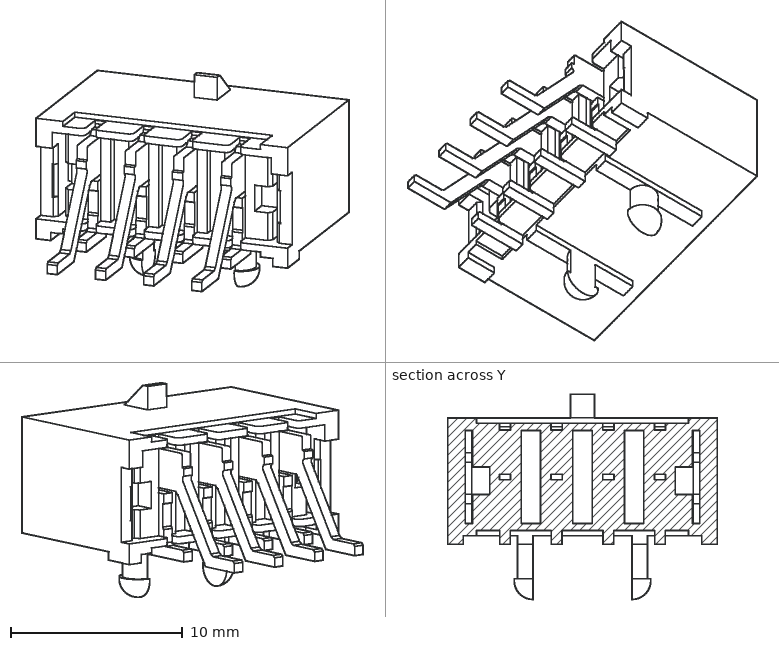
import cadquery as cq
import math


HOUSING_WIDTH = 15.7
HOUSING_DEPTH = 9.9
OVERALL_DEPTH = 15.9
HOUSING_TOP = 7.36
HOUSING_BOTTOM = 0.5
HALF_WIDTH = HOUSING_WIDTH / 2

PLATE_STEP_WIDTH = 12.32
PLATE_STEP_DEPTH = 1.91
PLATE_STEP_HEIGHT = 0.3
PLATE_CORNER_RADIUS = 0.32
LEAD_SLOT_DEPTH = 1.78

OPENING_HALF_WIDTH = 6.82
OPENING_BOTTOM = 1.22
OPENING_TOP = 6.61
WALL_SETBACK = 0.73
WALL_SETBACK_TOP = 5.65
WALL_NOTCH_HALF_WIDTH = 7.12
WALL_NOTCH_BOTTOM = 2.42
WALL_NOTCH_TOP = 4.42
BEVEL_WIDTH = 0.24
BEVEL_DEPTH = 0.24

CORE_HALF_WIDTH = 6.45
CORE_FRONT = 0.99
GROOVE_WIDTH = 1.11
GROOVE_BACK = 1.53
POCKET_HALF_WIDTH = 5.4
POCKET_BACK = 2.15
POCKET_BOTTOM = 2.91
POCKET_TOP = 4.5
SIDE_SLOT_BACK = 2.55
WINDOW_HEIGHT = 0.54
WINDOW_BOTTOMS = (2.37, 4.79)

LEAD_COUNT = 4
LEAD_PITCH = 3.0
LEAD_WIDTH = 0.64
LEAD_FOOT_HEIGHT = 0.68
LEAD_TIP_CHAMFER = 0.13
UPPER_LEAD_TIP = HOUSING_DEPTH - OVERALL_DEPTH
LOWER_LEAD_TIP = -1.34
LEAD_ROOT = PLATE_STEP_DEPTH
LEAD_CENTERS = [(i - (LEAD_COUNT - 1) / 2) * LEAD_PITCH for i in range(LEAD_COUNT)]
GROOVE_CENTERS = [x + LEAD_PITCH / 2 for x in LEAD_CENTERS[:-1]]

UPPER_ROOT_TOP = 6.85
UPPER_SHELF_BACK = 1.69
UPPER_SHELF_FRONT = 1.18
UPPER_SHELF_TOP = 6.68
UPPER_RAMP_BACK = 1.08
UPPER_RAMP_TOP = 6.57
UPPER_RAMP_FRONT = 0.87
HEAD_TOP = 6.39
HEAD_BOTTOM = 4.07
HEAD_FRONT = -1.16
HEAD_CORNER_RADIUS = 0.1
LIP_FRONT = -1.34
LIP_TOP = 5.58
LIP_TOP_DROP = 0.06
LIP_BOTTOM = 5.07
SHANK_NECK = (-1.21, 4.88)
SHANK_TOP = (-1.27, 4.7)
SHANK_BOTTOM = (-3.82, 0.83)
SHANK_FOOT_START = -4.02
SHANK_HEEL = -3.32
SHANK_UNDERSIDE_TOP = (-0.76, 3.9)
HEAD_UNDERSIDE_FRONT = -0.54

UPRIGHT_TOP = 3.77
UPRIGHT_FRONT = 0.54
RELIEF_FRONT = 0.62
RELIEF_TOP = 3.16
RELIEF_BOTTOM = 1.8
RELIEF_RAMP = 0.15
UPRIGHT_FOOT_CHAMFER = 0.17

LATCH_WIDTH = 1.42
LATCH_HEIGHT = 1.38
LATCH_FRONT = 7.08
LATCH_CREST = 7.54
LATCH_BACK = 9.22

FOOT_WIDTH = 0.92
RAIL_BACK = 8.95
PEG_FLAT = 2.88
PEG_RADIUS = 0.9
PEG_CENTER = 5.31
PEG_HEAD_RADIUS = 1.1
PEG_HEAD_TOP = -1.99
PEG_BOTTOM = -3.21


def box(x_min, x_max, y_min, y_max, z_min, z_max):
    """Block between the given limits."""
    block = cq.Workplane("XY").box(x_max - x_min, y_max - y_min, z_max - z_min, centered=False)
    return block.translate((x_min, y_min, z_min))


def extrude_side_profile(points, width):
    """Prism of a (Y, Z) outline, centred on X = 0."""
    return cq.Workplane("YZ").polyline(points).close().extrude(width / 2, both=True)


def both_sides(shape):
    """The shape together with its mirror image across X = 0."""
    return shape.union(shape.mirror("YZ"))


def upright_prism(points):
    """Prism of an (X, Y) outline over the height of the front opening."""
    height = OPENING_TOP - OPENING_BOTTOM
    return cq.Workplane("XY", origin=(0, 0, OPENING_BOTTOM)).polyline(points).close().extrude(height)


def make_lead_slots():
    """Slots through the front plates and into the core, one per lead, with rounded mouths."""
    height = HOUSING_TOP - HOUSING_BOTTOM
    half_slot = LEAD_WIDTH / 2
    half_mouth = half_slot + PLATE_CORNER_RADIUS
    slot = (
        cq.Workplane("XY", origin=(0, 0, HOUSING_BOTTOM))
        .moveTo(-half_mouth, 0)
        .radiusArc((-half_slot, PLATE_CORNER_RADIUS), -PLATE_CORNER_RADIUS)
        .lineTo(-half_slot, LEAD_SLOT_DEPTH)
        .lineTo(half_slot, LEAD_SLOT_DEPTH)
        .lineTo(half_slot, PLATE_CORNER_RADIUS)
        .radiusArc((half_mouth, 0), -PLATE_CORNER_RADIUS)
        .close()
        .extrude(height)
    )
    slots = slot.translate((LEAD_CENTERS[0], 0, 0))
    for x in LEAD_CENTERS[1:]:
        slots = slots.union(slot.translate((x, 0, 0)))
    return slots


def make_side_cuts():
    """Cuts at the left end of the front: wall setback, lead-in bevels, latch slot and windows."""
    setback = box(-HALF_WIDTH, -OPENING_HALF_WIDTH, 0, WALL_SETBACK, OPENING_BOTTOM, WALL_SETBACK_TOP)
    wall_bevel = upright_prism([
        (-OPENING_HALF_WIDTH, WALL_SETBACK),
        (-OPENING_HALF_WIDTH - BEVEL_WIDTH, WALL_SETBACK),
        (-OPENING_HALF_WIDTH, WALL_SETBACK + BEVEL_DEPTH),
    ]).intersect(box(-HALF_WIDTH, 0, 0, HOUSING_DEPTH, OPENING_BOTTOM, WALL_SETBACK_TOP))
    wall_notch = box(
        -WALL_NOTCH_HALF_WIDTH, -OPENING_HALF_WIDTH,
        WALL_SETBACK, WALL_SETBACK + BEVEL_DEPTH,
        WALL_NOTCH_BOTTOM, WALL_NOTCH_TOP,
    )
    core_bevel = upright_prism([
        (-CORE_HALF_WIDTH, CORE_FRONT),
        (-CORE_HALF_WIDTH + BEVEL_WIDTH, CORE_FRONT),
        (-CORE_HALF_WIDTH, CORE_FRONT + BEVEL_DEPTH),
    ])
    side_slot = box(
        -OPENING_HALF_WIDTH, -CORE_HALF_WIDTH, 0, SIDE_SLOT_BACK, OPENING_BOTTOM, OPENING_TOP
    )
    pocket = box(
        -CORE_HALF_WIDTH, -POCKET_HALF_WIDTH, CORE_FRONT, POCKET_BACK, POCKET_BOTTOM, POCKET_TOP
    )
    cuts = setback.union(wall_bevel).union(wall_notch).union(core_bevel).union(side_slot).union(pocket)
    for bottom in WINDOW_BOTTOMS:
        window = box(
            -OPENING_HALF_WIDTH, -CORE_HALF_WIDTH, 0, HOUSING_DEPTH, bottom, bottom + WINDOW_HEIGHT
        )
        cuts = cuts.union(window)
    return cuts


def make_housing():
    """Housing block with its open front, plates, grooves and side cuts."""
    housing = box(-HALF_WIDTH, HALF_WIDTH, 0, HOUSING_DEPTH, HOUSING_BOTTOM, HOUSING_TOP)

    opening = box(
        -OPENING_HALF_WIDTH, OPENING_HALF_WIDTH, 0, CORE_FRONT, OPENING_BOTTOM, OPENING_TOP
    )
    housing = housing.cut(opening)

    half_step = PLATE_STEP_WIDTH / 2
    for bottom in (HOUSING_BOTTOM, HOUSING_TOP - PLATE_STEP_HEIGHT):
        step = box(-half_step, half_step, 0, PLATE_STEP_DEPTH, bottom, bottom + PLATE_STEP_HEIGHT)
        housing = housing.cut(step)

    for x in GROOVE_CENTERS:
        groove = box(
            x - GROOVE_WIDTH / 2, x + GROOVE_WIDTH / 2,
            CORE_FRONT, GROOVE_BACK,
            OPENING_BOTTOM, OPENING_TOP,
        )
        housing = housing.cut(groove)

    return housing.cut(make_lead_slots()).cut(both_sides(make_side_cuts()))


def make_latch():
    """Ramp on the roof, rising towards the front."""
    crest = HOUSING_TOP + LATCH_HEIGHT
    return extrude_side_profile(
        [(LATCH_FRONT, HOUSING_TOP), (LATCH_FRONT, crest), (LATCH_CREST, crest), (LATCH_BACK, HOUSING_TOP)],
        LATCH_WIDTH,
    )


def make_board_supports():
    """Front feet and the two rails that carry the pegs."""
    foot = box(-HALF_WIDTH, -HALF_WIDTH + FOOT_WIDTH, 0, PLATE_STEP_DEPTH, 0, HOUSING_BOTTOM)
    rail = box(-PEG_FLAT - PEG_RADIUS, -PEG_FLAT, PLATE_STEP_DEPTH, RAIL_BACK, 0, HOUSING_BOTTOM)
    return both_sides(foot.union(rail))


def make_pegs():
    """Half-round pegs with half-dome heads, flat sides facing each other."""
    head_height = PEG_HEAD_TOP - PEG_BOTTOM
    dome_radius = (PEG_HEAD_RADIUS ** 2 + head_height ** 2) / (2 * head_height)
    dome_mid = dome_radius * math.sqrt(0.5)
    dome_mid_z = PEG_BOTTOM + dome_radius - dome_mid
    peg = (
        cq.Workplane("XZ")
        .moveTo(0, 0)
        .lineTo(-PEG_RADIUS, 0)
        .lineTo(-PEG_RADIUS, PEG_HEAD_TOP)
        .lineTo(-PEG_HEAD_RADIUS, PEG_HEAD_TOP)
        .threePointArc((-dome_mid, dome_mid_z), (0, PEG_BOTTOM))
        .close()
        .revolve(360, (0, 0, 0), (0, 1, 0))
    )
    head_diameter = 2 * PEG_HEAD_RADIUS
    inner_half = box(0, head_diameter, -head_diameter, head_diameter, PEG_BOTTOM, 0)
    peg = peg.cut(inner_half)
    return both_sides(peg.translate((-PEG_FLAT, PEG_CENTER, 0)))


def lead_foot_tip(tip):
    """Chamfered end of a lead foot, from its top face round to the board."""
    return [
        (tip + LEAD_TIP_CHAMFER, LEAD_FOOT_HEIGHT),
        (tip, LEAD_FOOT_HEIGHT - LEAD_TIP_CHAMFER),
        (tip, 0),
    ]


def make_upper_lead():
    """Lead that leaves the core high up and slopes down to a foot on the board."""
    top_steps = [
        (LEAD_ROOT, UPPER_ROOT_TOP),
        (LEAD_SLOT_DEPTH, UPPER_ROOT_TOP),
        (UPPER_SHELF_BACK, UPPER_SHELF_TOP),
        (UPPER_SHELF_FRONT, UPPER_SHELF_TOP),
        (UPPER_RAMP_BACK, UPPER_RAMP_TOP),
        (UPPER_RAMP_FRONT, HEAD_TOP),
        (HEAD_FRONT + HEAD_CORNER_RADIUS, HEAD_TOP),
    ]
    head_corner_end = (HEAD_FRONT, HEAD_TOP - HEAD_CORNER_RADIUS)
    lip = [
        (HEAD_FRONT, LIP_TOP),
        (LIP_FRONT, LIP_TOP - LIP_TOP_DROP),
        (LIP_FRONT, LIP_BOTTOM),
    ]
    foot_and_underside = [
        SHANK_BOTTOM,
        (SHANK_FOOT_START, LEAD_FOOT_HEIGHT),
        *lead_foot_tip(UPPER_LEAD_TIP),
        (SHANK_HEEL, 0),
        SHANK_UNDERSIDE_TOP,
        (HEAD_UNDERSIDE_FRONT, HEAD_BOTTOM),
        (LEAD_ROOT, HEAD_BOTTOM),
    ]
    return (
        cq.Workplane("YZ")
        .polyline(top_steps)
        .radiusArc(head_corner_end, -HEAD_CORNER_RADIUS)
        .polyline(lip, includeCurrent=True)
        .threePointArc(SHANK_NECK, SHANK_TOP)
        .polyline(foot_and_underside, includeCurrent=True)
        .close()
        .extrude(LEAD_WIDTH / 2, both=True)
    )


def make_lower_lead():
    """Lead that runs down the front of the core to a short foot on the board."""
    return extrude_side_profile(
        [
            (LEAD_ROOT, UPRIGHT_TOP),
            (UPRIGHT_FRONT, UPRIGHT_TOP),
            (UPRIGHT_FRONT, RELIEF_TOP),
            (RELIEF_FRONT, RELIEF_TOP),
            (RELIEF_FRONT, RELIEF_BOTTOM),
            (UPRIGHT_FRONT, RELIEF_BOTTOM - RELIEF_RAMP),
            (UPRIGHT_FRONT, LEAD_FOOT_HEIGHT + UPRIGHT_FOOT_CHAMFER),
            (UPRIGHT_FRONT - UPRIGHT_FOOT_CHAMFER, LEAD_FOOT_HEIGHT),
            *lead_foot_tip(LOWER_LEAD_TIP),
            (LEAD_ROOT, 0),
        ],
        LEAD_WIDTH,
    )


result = make_housing().union(make_latch()).union(make_board_supports()).union(make_pegs())
lead_pair = make_upper_lead().union(make_lower_lead())
for lead_x in LEAD_CENTERS:
    result = result.union(lead_pair.translate((lead_x, 0, 0)))